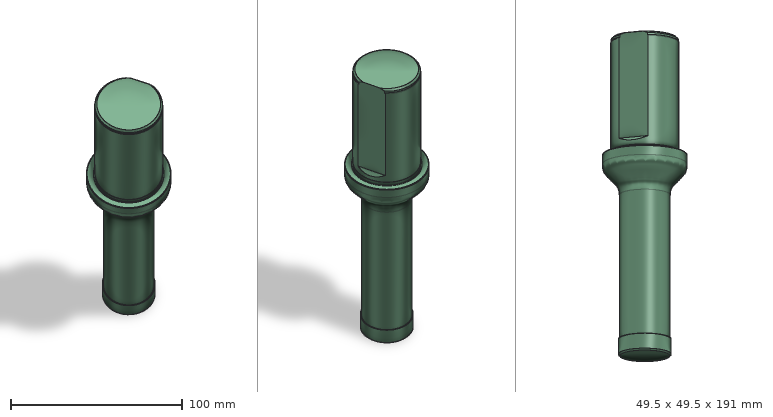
import cadquery as cq
import math

total_height = 191.0
tip_height = 10.3
neck_bottom = 96.8
flange_bottom = 115.4
flange_top = 121.0
shank_full_bottom = 122.8

shaft_radius = 29.8 / 2
flange_radius = 49.5 / 2
shank_radius = 40.0 / 2
reduced_shank_radius = 39.5 / 2
tip_radius = 15.5

flange_chamfer = 0.4
relief_outer_radius = 20.6
relief_depth = 0.5
rim_chamfer = 1.1
rim_height = 2.9
rim_step_height = 0.5
flat_distance = 17.8
flat_run_out = 125.7
tip_rim_height = 0.29
tip_chamfer = 1.0


def revolve_about_axis(profile):
    """Close a radius-height profile and turn it about Z."""
    return profile.close().revolve(360, (0, 0, 0), (0, 1, 0))


def make_holder():
    neck_width = flange_radius - shaft_radius
    neck_height = flange_bottom - neck_bottom
    sweep_angle = 2 * math.atan2(neck_width, neck_height)
    arc_radius = neck_height / (2 * math.sin(sweep_angle))
    half_arc_in = arc_radius * (1 - math.cos(sweep_angle / 2))
    half_arc_rise = arc_radius * math.sin(sweep_angle / 2)
    neck_points = [
        (shaft_radius, neck_bottom),
        (shaft_radius + half_arc_in, neck_bottom + half_arc_rise),
        (shaft_radius + neck_width / 2, neck_bottom + neck_height / 2),
        (flange_radius - half_arc_in, flange_bottom - half_arc_rise),
        (flange_radius, flange_bottom),
    ]
    axial = (0, 1)

    rim_bottom = total_height - rim_height

    profile = (
        cq.Workplane("XZ")
        .moveTo(0, tip_height)
        .lineTo(shaft_radius, tip_height)
        .lineTo(shaft_radius, neck_bottom)
        .spline(neck_points[1:], tangents=[axial, axial], includeCurrent=True)
        .lineTo(flange_radius, flange_top - flange_chamfer)
        .lineTo(flange_radius - flange_chamfer, flange_top)
        .lineTo(relief_outer_radius, flange_top)
        .lineTo(relief_outer_radius, flange_top - relief_depth)
        .lineTo(reduced_shank_radius, flange_top - relief_depth)
        .lineTo(reduced_shank_radius, shank_full_bottom)
        .lineTo(shank_radius, shank_full_bottom)
        .lineTo(shank_radius, rim_bottom)
        .lineTo(reduced_shank_radius, rim_bottom + rim_step_height)
        .lineTo(reduced_shank_radius, total_height - rim_chamfer)
        .lineTo(reduced_shank_radius - rim_chamfer, total_height)
        .lineTo(0, total_height)
    )
    return revolve_about_axis(profile).cut(make_flat_cutter())


def make_flat_cutter():
    """Stock removed on the +Y side of the shank, ending in a 45 degree ramp."""
    ramp = shank_radius - flat_distance
    return (
        cq.Workplane("YZ")
        .moveTo(flat_distance, total_height)
        .lineTo(flat_distance, flat_run_out + ramp)
        .lineTo(shank_radius, flat_run_out)
        .lineTo(shank_radius, total_height)
        .close()
        .extrude(shank_radius, both=True)
    )


def make_tip():
    """Slightly wider cutting tip with a chamfered edge and a shallow conical end."""
    profile = (
        cq.Workplane("XZ")
        .lineTo(tip_radius - tip_chamfer, tip_rim_height)
        .lineTo(tip_radius, tip_rim_height + tip_chamfer)
        .lineTo(tip_radius, tip_height)
        .lineTo(0, tip_height)
    )
    return revolve_about_axis(profile)


holder = make_holder()
tip = make_tip()

result = cq.Compound.makeCompound([holder.val(), tip.val()])